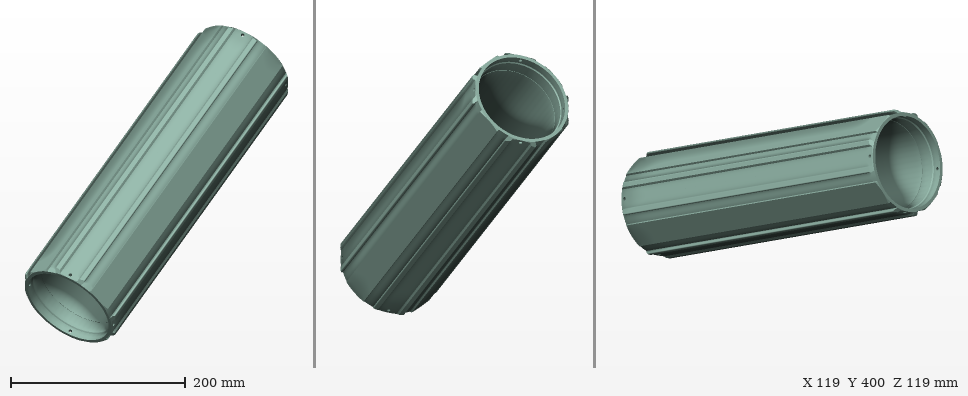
import cadquery as cq
import math

length = 400.0
outer_size = 119.0
body_radius = 57.0
flat_count = 8
flat_distance = 57.5
flat_half_width = 15.0
end_radius = flat_distance

side_count = 4
rib_top = outer_size / 2
rib_outer = 19.0
rib_inner = 13.0
undercut_top = 57.5
undercut_run = 3.0
rib_root = 53.5
rib_round = 1.0

bore_radius = 52.0
throat_radius = 52.5
mouth_radius = 53.5
mouth_depth = 10.0
throat_depth = 27.0

hole_diameter = 4.0
hole_inset = 5.0

half_length = length / 2
cutter_margin = 8.0


def extrude_along_axis(profile):
    """Extrude an XZ profile symmetrically over the tube length."""
    return profile.extrude(half_length, both=True)


def revolve_about_axis(points):
    """Revolve an outline of (radius, y) points about the Y axis."""
    return cq.Workplane("XY").polyline(points).close().revolve(360, (0, 0, 0), (0, 1, 0))


def around_axis(shape, count):
    """Yield equally spaced copies of a shape around the Y axis."""
    for i in range(count):
        yield shape.rotate((0, 0, 0), (0, 1, 0), i * 360 / count)


def make_flat():
    """Strip whose outer face stands proud of the round body."""
    strip = cq.Workplane("XZ").rect(2 * flat_half_width, flat_distance, centered=(True, False))
    return extrude_along_axis(strip)


def make_rib():
    """Hooked rib on the top side: sloped inside, upright and undercut outside."""
    inner_root = rib_inner - (rib_top - rib_root)
    undercut_inner = rib_outer - undercut_run
    undercut_bottom = undercut_top - undercut_run
    diagonal = rib_round * math.sqrt(0.5)
    profile = (
        cq.Workplane("XZ")
        .moveTo(rib_inner, rib_top)
        .lineTo(rib_outer - rib_round, rib_top)
        .threePointArc(
            (rib_outer - rib_round + diagonal, rib_top - rib_round + diagonal),
            (rib_outer, rib_top - rib_round),
        )
        .lineTo(rib_outer, undercut_top)
        .lineTo(undercut_inner, undercut_bottom)
        .lineTo(undercut_inner, rib_root)
        .lineTo(inner_root, rib_root)
        .close()
    )
    return extrude_along_axis(profile)


def make_end_envelope():
    """Round bar with 45 degree cones that trim the ribs and flat edges at both ends."""
    bar_radius = end_radius + cutter_margin
    cone_start = half_length - cutter_margin
    return revolve_about_axis([
        (0, -half_length),
        (end_radius, -half_length),
        (bar_radius, -cone_start),
        (bar_radius, cone_start),
        (end_radius, half_length),
        (0, half_length),
    ])


def make_bore():
    """Stepped bore, the same from both ends."""
    mouth_end = half_length - mouth_depth
    cone_end = mouth_end - (mouth_radius - throat_radius)
    throat_end = half_length - throat_depth
    far_half = [
        (bore_radius, throat_end),
        (throat_radius, throat_end),
        (throat_radius, cone_end),
        (mouth_radius, mouth_end),
        (mouth_radius, half_length),
    ]
    near_half = [(radius, -y) for radius, y in reversed(far_half)]
    start = [(0, -half_length)]
    end = [(0, half_length)]
    return revolve_about_axis(start + near_half + far_half + end)


def make_hole_pair():
    """Pin holes through the top wall, one near each end."""
    hole_y = half_length - hole_inset
    return (
        cq.Workplane("XY")
        .pushPoints([(0, -hole_y), (0, hole_y)])
        .circle(hole_diameter / 2)
        .extrude(body_radius + cutter_margin)
    )


body = extrude_along_axis(cq.Workplane("XZ").circle(body_radius))
for flat in around_axis(make_flat(), flat_count):
    body = body.union(flat)

rib = make_rib()
for one_rib in (rib, rib.mirror("YZ")):
    for placed_rib in around_axis(one_rib, side_count):
        body = body.union(placed_rib)

body = body.intersect(make_end_envelope()).cut(make_bore())
for hole_pair in around_axis(make_hole_pair(), side_count):
    body = body.cut(hole_pair)

result = body.solids()